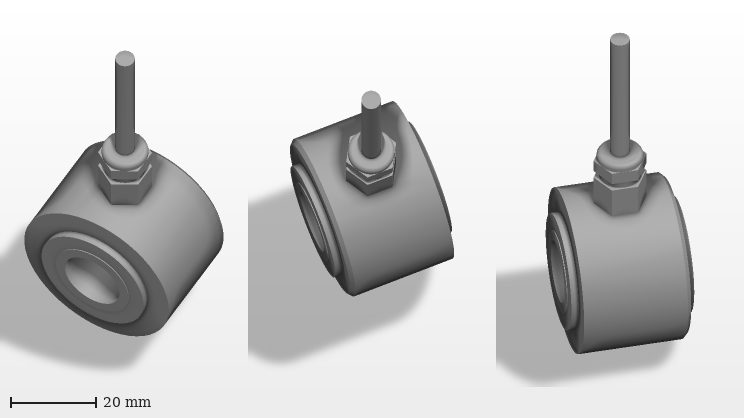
import cadquery as cq
import math

ring_diameter = 39.7
ring_width = 26.0
ring_chamfer = 1.0
rim_diameter = 28.0
rim_width = 29.6
contact_diameter = 20.0
overall_width = 30.0
bore_diameter = 15.0

crown_z = ring_diameter / 2
spigot_diameter = 8.0
spigot_depth = 2.0
hex_across_flats = 11.0
hex_across_corners = hex_across_flats / math.cos(math.pi / 6)
base_hex_height = 8.0
neck_diameter = 10.0
neck_height = 2.0
nut_height = 3.2
cap_diameter = hex_across_flats
cap_height = 1.8
cap_fillet = 1.0

cable_diameter = 4.6
cable_length = 35.0


def disc_along_y(diameter, width):
    """Cylinder on the Y axis, centred on the origin."""
    return cq.Workplane("XZ").circle(diameter / 2).extrude(width / 2, both=True)


def disc_along_z(diameter, bottom_z, height):
    """Cylinder on the Z axis, rising from bottom_z."""
    return cq.Workplane("XY").workplane(offset=bottom_z).circle(diameter / 2).extrude(height)


def hexagon_along_z(bottom_z, height):
    """Hexagonal prism on the Z axis with its corners facing -Y and +Y."""
    return (
        cq.Workplane("XY")
        .workplane(offset=bottom_z)
        .transformed(rotate=(0, 0, 90))
        .polygon(6, hex_across_corners)
        .extrude(height)
    )


def make_spigot():
    """Round end of the gland that seats in the ring; it also shapes the matching hole."""
    return disc_along_z(spigot_diameter, crown_z - spigot_depth, spigot_depth)


def make_housing():
    """Ring with a stepped contact face on each side, chamfered on the +Y edge."""
    ring = disc_along_y(ring_diameter, ring_width).faces(">Y").edges().chamfer(ring_chamfer)
    rim = disc_along_y(rim_diameter, rim_width)
    contact_faces = disc_along_y(contact_diameter, overall_width)
    bore = disc_along_y(bore_diameter, overall_width)
    return ring.union(rim).union(contact_faces).cut(bore).cut(make_spigot())


neck_z = crown_z + base_hex_height
nut_z = neck_z + neck_height
cap_z = nut_z + nut_height
gland_top_z = cap_z + cap_height


def make_gland():
    """Spigot, hexagonal base, round neck, hexagonal nut and rounded cap."""
    base = hexagon_along_z(crown_z, base_hex_height)
    neck = disc_along_z(neck_diameter, neck_z, neck_height)
    nut = hexagon_along_z(nut_z, nut_height)
    cap = disc_along_z(cap_diameter, cap_z, cap_height).faces(">Z").edges().fillet(cap_fillet)
    return make_spigot().union(base).union(neck).union(nut).union(cap)


def make_cable():
    """Plain round cable."""
    return disc_along_z(cable_diameter, gland_top_z, cable_length)


housing = make_housing()
gland = make_gland()
cable = make_cable()

result = cq.Compound.makeCompound([housing.val(), gland.val(), cable.val()])